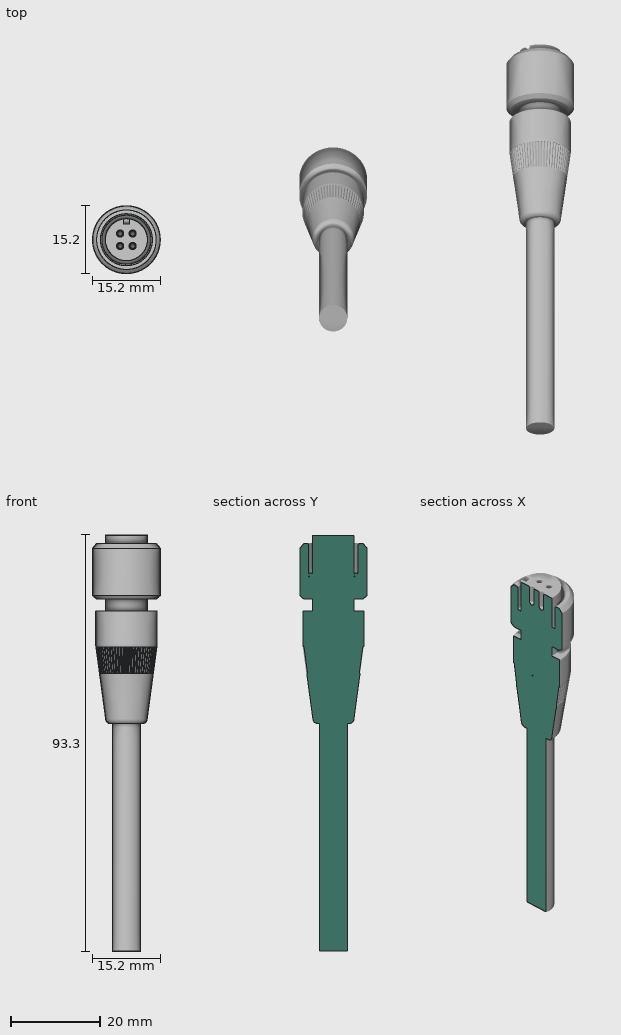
import cadquery as cq
import math

total_height = 93.3
nut_top = 91.4
nut_bottom = 78.9
body_top = 76.3
taper_top = 68.7
knurl_top = 68.2
knurl_bottom = 62.3
boot_round_start = 52.1
boot_bottom = 51.0

cable_radius = 6.3 / 2
insert_radius = 9.4 / 2
nut_radius = 15.2 / 2
body_radius = 13.8 / 2
boot_end_radius = 4.7
boot_round_width = 0.8
boot_round_radius = 1.2

body_edge_round = 0.3

nut_chamfer_width = 0.9
nut_top_chamfer_height = 1.1
nut_bottom_chamfer_height = 0.8
nut_mouth_radius = 11.7 / 2
nut_bore_radius = 11.0 / 2
nut_bore_floor = 83.9

seal_bury = 0.1

contact_offset = 1.4
contact_mouth_radius = 1.6 / 2
contact_bore_radius = 1.1 / 2
contact_depth = 4.7
contact_tip_depth = 0.6
key_width = 1.4
key_inner_y = 3.5
key_depth = 2.8

groove_count = 60
groove_depth = 0.2
groove_clearance = 0.04
groove_share = 0.8


def taper_radius(z):
    """Radius of the strain relief cone at height z."""
    fraction = (taper_top - z) / (taper_top - boot_round_start)
    return body_radius + fraction * (boot_end_radius - body_radius)


def cylinder(radius, bottom, top):
    """Upright cylinder on the part axis between two heights."""
    return cq.Workplane("XY").workplane(offset=bottom).circle(radius).extrude(top - bottom)


def make_body():
    """Grip body with a rounded top edge, running into the tapered strain relief."""
    return (
        cq.Workplane("XZ")
        .moveTo(0, body_top)
        .lineTo(body_radius - body_edge_round, body_top)
        .radiusArc((body_radius, body_top - body_edge_round), body_edge_round)
        .lineTo(body_radius, taper_top)
        .lineTo(boot_end_radius, boot_round_start)
        .radiusArc((boot_end_radius - boot_round_width, boot_bottom), boot_round_radius)
        .lineTo(0, boot_bottom)
        .close()
        .revolve(360, (0, 0, 0), (0, 1, 0))
    )


def make_nut():
    """Coupling nut with both outer rims chamfered and a blind, countersunk bore open at the top."""
    rim_radius = nut_radius - nut_chamfer_width
    return (
        cq.Workplane("XZ")
        .moveTo(0, nut_bottom)
        .lineTo(rim_radius, nut_bottom)
        .lineTo(nut_radius, nut_bottom + nut_bottom_chamfer_height)
        .lineTo(nut_radius, nut_top - nut_top_chamfer_height)
        .lineTo(rim_radius, nut_top)
        .lineTo(nut_mouth_radius, nut_top)
        .lineTo(nut_bore_radius, nut_top - (nut_mouth_radius - nut_bore_radius))
        .lineTo(nut_bore_radius, nut_bore_floor)
        .lineTo(0, nut_bore_floor)
        .close()
        .revolve(360, (0, 0, 0), (0, 1, 0))
    )


def make_grip_grooves():
    """V-grooves running straight down the taper, evenly spaced around the grip band."""
    top_radius = taper_radius(knurl_top)
    bottom_radius = taper_radius(knurl_bottom)
    radius_drop = top_radius - bottom_radius
    knurl_height = knurl_top - knurl_bottom
    mouth_width = groove_share * 2 * math.pi * bottom_radius / groove_count
    down_taper = cq.Plane(
        origin=(top_radius, 0, knurl_top),
        xDir=(0, -1, 0),
        normal=(-radius_drop, 0, -knurl_height),
    )
    half_opening = mouth_width / 2 * (1 + groove_clearance / groove_depth)
    groove = (
        cq.Workplane(down_taper)
        .moveTo(0, groove_depth)
        .lineTo(half_opening, -groove_clearance)
        .lineTo(-half_opening, -groove_clearance)
        .close()
        .extrude(math.hypot(radius_drop, knurl_height))
    )
    grooves = []
    for index in range(groove_count):
        turned = groove.rotate((0, 0, 0), (0, 0, 1), index * 360 / groove_count)
        grooves.append(turned.val())
    return cq.Workplane(cq.Compound.makeCompound(grooves))


def make_seal():
    """Round sealing ring bedded in the floor of the nut bore, tight between insert and bore wall."""
    ring_radius = (insert_radius + nut_bore_radius) / 2
    section_radius = (nut_bore_radius - insert_radius) / 2 + seal_bury
    ring_height = nut_bore_floor + section_radius - seal_bury
    return cq.Workplane(cq.Solid.makeTorus(ring_radius, section_radius, cq.Vector(0, 0, ring_height)))


def make_contact_hole():
    """Blind contact hole with a countersunk mouth and a conical tip, on the part axis."""
    mouth_depth = contact_mouth_radius - contact_bore_radius
    return (
        cq.Workplane("XZ")
        .moveTo(0, total_height)
        .lineTo(contact_mouth_radius, total_height)
        .lineTo(contact_bore_radius, total_height - mouth_depth)
        .lineTo(contact_bore_radius, total_height - contact_depth)
        .lineTo(0, total_height - contact_depth - contact_tip_depth)
        .close()
        .revolve(360, (0, 0, 0), (0, 1, 0))
    )


def make_keyway():
    """Rectangular keyway open at the top and the +Y side of the insert."""
    key_length = insert_radius - key_inner_y
    keyway = cq.Workplane("XY").box(key_width, key_length, key_depth, centered=(True, False, False))
    return keyway.translate((0, key_inner_y, total_height - key_depth))


result = make_body().cut(make_grip_grooves())
result = result.union(cylinder(cable_radius, 0, boot_bottom))
result = result.union(make_nut())
result = result.union(cylinder(insert_radius, body_top, total_height))
result = result.union(make_seal())
for x_side in (-1, 1):
    for y_side in (-1, 1):
        hole = make_contact_hole().translate((x_side * contact_offset, y_side * contact_offset, 0))
        result = result.cut(hole)
result = result.cut(make_keyway())